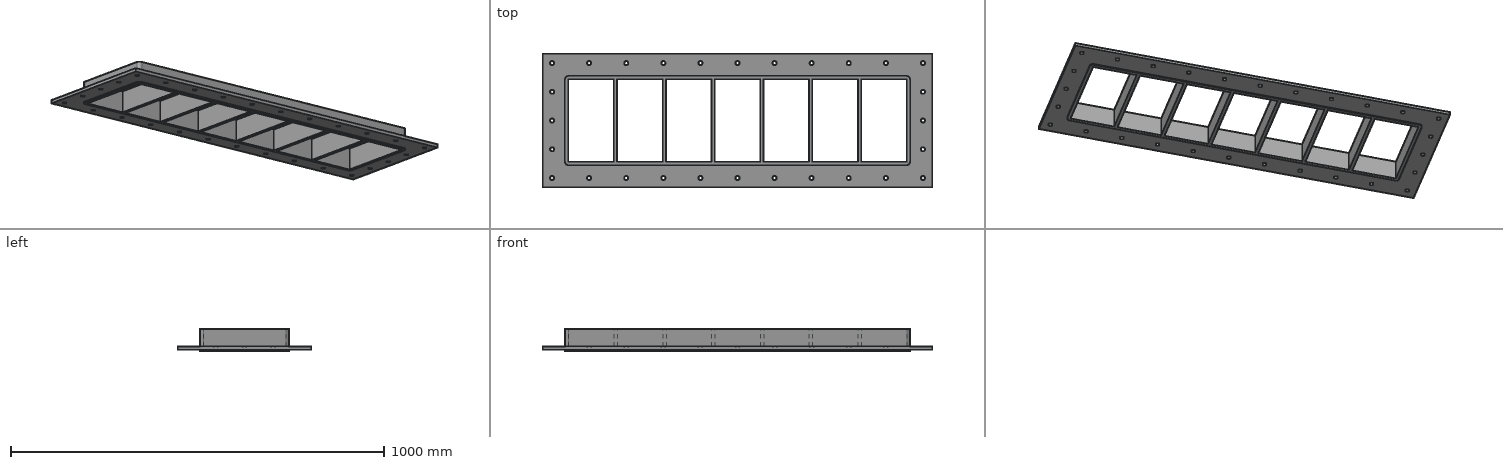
import cadquery as cq

flange_length = 1044.0
flange_width = 358.0
flange_thickness = 9.0

flange_overhang = 60.0
frame_length = flange_length - 2 * flange_overhang
frame_width = flange_width - 2 * flange_overhang
frame_height = 60.0
frame_corner_radius = 9.0
lip_below_flange = 3.0

wall = 9.0
opening_count = 7
opening_pitch = (frame_length - wall) / opening_count
opening_length = opening_pitch - wall
opening_width = frame_width - 2 * wall

hole_diameter = 10.0
hole_margin = 25.0
holes_along_length = 11
holes_along_width = 5
hole_span_x = flange_length - 2 * hole_margin
hole_span_y = flange_width - 2 * hole_margin


def spaced_positions(count, span):
    """Evenly spaced positions centred on zero, including both ends."""
    return [span * (i / (count - 1) - 0.5) for i in range(count)]


def bolt_hole_centres():
    """One row along each edge, with every corner hole listed once."""
    x_positions = spaced_positions(holes_along_length, hole_span_x)
    y_positions = spaced_positions(holes_along_width, hole_span_y)
    long_rows = [(x, y) for x in x_positions for y in (y_positions[0], y_positions[-1])]
    short_rows = [(x, y) for x in (x_positions[0], x_positions[-1]) for y in y_positions[1:-1]]
    return long_rows + short_rows


flange = (
    cq.Workplane("XY", origin=(0, 0, lip_below_flange))
    .rect(flange_length, flange_width)
    .extrude(flange_thickness)
)
bolt_holes = (
    cq.Workplane("XY")
    .pushPoints(bolt_hole_centres())
    .circle(hole_diameter / 2)
    .extrude(frame_height)
)
frame = (
    cq.Workplane("XY")
    .rect(frame_length, frame_width)
    .extrude(frame_height)
    .edges("|Z")
    .fillet(frame_corner_radius)
)
openings = (
    cq.Workplane("XY")
    .rarray(opening_pitch, 10, opening_count, 1)
    .rect(opening_length, opening_width)
    .extrude(frame_height)
)

result = flange.cut(bolt_holes).union(frame).cut(openings)